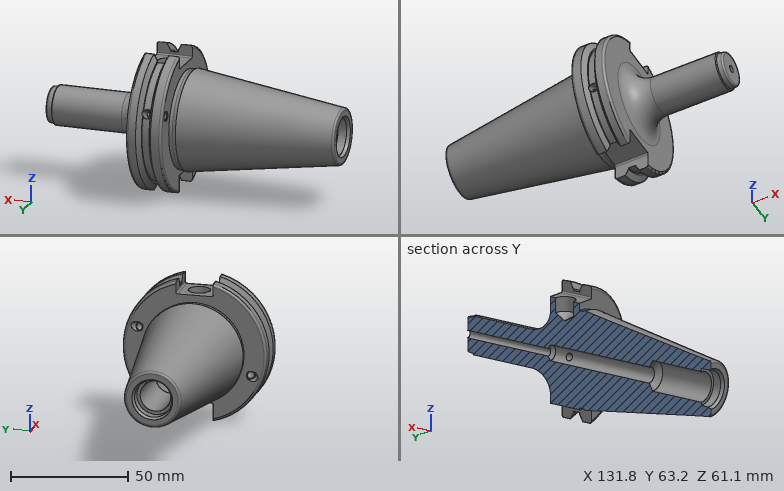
import cadquery as cq
import math

LENGTH = 131.8

GAUGE_RADIUS = 22.3
GAUGE_X = 68.0
TAPER_SLOPE = 7 / 48
SMALL_END_RADIUS = GAUGE_RADIUS - GAUGE_X * TAPER_SLOPE
EDGE_ROUND = 1.0

RELIEF_RADIUS = 43.6 / 2
RELIEF_X = 69.5

FLANGE_RADIUS = 31.6
FLANGE_X = 71.1
FLANGE_WIDTH = 16.0
FLANGE_END_X = FLANGE_X + FLANGE_WIDTH
GROOVE_X = 79.3
GROOVE_FLOOR_RADIUS = 28.0
GROOVE_FLOOR_WIDTH = 3.4
GROOVE_MOUTH_WIDTH = 6.7
GROOVE_WALL_ANGLE = 60

SHANK_RADIUS = 17.5 / 2
NECK_ROUND = 10.1
TIP_X = 128.6
TIP_STEP_LENGTH = 0.4
TIP_STEP_RADIUS = 16.3 / 2
TIP_CONE_END_RADIUS = 7.9
TIP_ROUND = 0.8

SLOT_WIDTH = 16.3
UPPER_SLOT_FLOOR = 25.0
LOWER_SLOT_FLOOR = 22.5
SLOT_CORNER_ROUND = 0.7
SLOT_DIMPLE_DIAMETER = 9.5
SLOT_DIMPLE_DEPTH = 6.6

MOUTH_RADIUS = 9.0
MOUTH_CONE_LENGTH = 1.5
COUNTERBORE_RADIUS = 16.3 / 2
COUNTERBORE_DEPTH = 5.3
THREAD_BORE_RADIUS = 13.5 / 2
THREAD_BORE_DEPTH = 31.6
FEED_BORE_RADIUS = 7.0 / 2
FEED_BORE_DEPTH = 87.0
OUTLET_RADIUS = 3.2 / 2
DRILL_POINT_ANGLE = 118

COOLANT_ANGLE = 20
COOLANT_DIAMETER = 3.3
PLUG_DIAMETER = 4.0
PLUG_DEPTH = 10.5
FACE_HOLE_DIAMETER = 4.2
FACE_HOLE_RADIUS = 27.0
FACE_HOLE_DEPTH = 1.6
FACE_HOLE_TILT = 35


def drill_point(radius, end_radius=0.0):
    """Length of a drill cone narrowing from radius to end_radius."""
    return (radius - end_radius) / math.tan(math.radians(DRILL_POINT_ANGLE / 2))


def revolve_about_x(outline):
    return outline.close().revolve(360, (0, 0, 0), (1, 0, 0))


def drill(start, direction, diameter, depth):
    return cq.Solid.makeCylinder(diameter / 2, depth, cq.Vector(*start), cq.Vector(*direction))


def make_taper():
    taper = revolve_about_x(
        cq.Workplane("XY")
        .lineTo(0, SMALL_END_RADIUS)
        .lineTo(GAUGE_X, GAUGE_RADIUS)
        .lineTo(RELIEF_X, RELIEF_RADIUS)
        .lineTo(FLANGE_X, RELIEF_RADIUS)
        .lineTo(FLANGE_X, 0)
    )
    return taper.faces("<X").edges().fillet(EDGE_ROUND)


def make_flange():
    flange = (
        cq.Workplane("YZ", origin=(FLANGE_X, 0, 0))
        .circle(FLANGE_RADIUS)
        .extrude(FLANGE_WIDTH)
        .edges()
        .fillet(EDGE_ROUND)
    )
    half_mouth = GROOVE_MOUTH_WIDTH / 2
    half_floor = GROOVE_FLOOR_WIDTH / 2
    wall_drop = (half_mouth - half_floor) * math.tan(math.radians(GROOVE_WALL_ANGLE))
    wall_end_radius = FLANGE_RADIUS - wall_drop
    clear_radius = FLANGE_RADIUS + EDGE_ROUND
    groove = revolve_about_x(
        cq.Workplane("XY")
        .moveTo(GROOVE_X - half_mouth, clear_radius)
        .lineTo(GROOVE_X - half_mouth, FLANGE_RADIUS)
        .lineTo(GROOVE_X - half_floor, wall_end_radius)
        .lineTo(GROOVE_X - half_floor, GROOVE_FLOOR_RADIUS)
        .lineTo(GROOVE_X + half_floor, GROOVE_FLOOR_RADIUS)
        .lineTo(GROOVE_X + half_floor, wall_end_radius)
        .lineTo(GROOVE_X + half_mouth, FLANGE_RADIUS)
        .lineTo(GROOVE_X + half_mouth, clear_radius)
    )
    return flange.cut(groove)


def make_shank():
    return revolve_about_x(
        cq.Workplane("XY")
        .moveTo(FLANGE_END_X, 0)
        .lineTo(FLANGE_END_X, SHANK_RADIUS + NECK_ROUND)
        .radiusArc((FLANGE_END_X + NECK_ROUND, SHANK_RADIUS), -NECK_ROUND)
        .lineTo(TIP_X, SHANK_RADIUS)
        .lineTo(TIP_X + TIP_STEP_LENGTH, TIP_STEP_RADIUS)
        .lineTo(LENGTH - TIP_ROUND, TIP_CONE_END_RADIUS)
        .radiusArc((LENGTH, TIP_CONE_END_RADIUS - TIP_ROUND), TIP_ROUND)
        .lineTo(LENGTH, 0)
    )


def make_slot(floor, side):
    """Driving slot through the flange, on the +Z (side=1) or -Z (side=-1) side."""
    height = FLANGE_RADIUS
    return (
        cq.Workplane("XY")
        .box(FLANGE_WIDTH, SLOT_WIDTH, height)
        .edges("|X")
        .fillet(SLOT_CORNER_ROUND)
        .translate((FLANGE_X + FLANGE_WIDTH / 2, 0, side * (floor + height / 2)))
    )


def make_slot_dimple():
    radius = SLOT_DIMPLE_DIAMETER / 2
    bottom = UPPER_SLOT_FLOOR - SLOT_DIMPLE_DEPTH
    return (
        cq.Workplane("XZ")
        .moveTo(0, UPPER_SLOT_FLOOR)
        .lineTo(radius, UPPER_SLOT_FLOOR)
        .lineTo(radius, bottom)
        .lineTo(0, bottom - drill_point(radius))
        .close()
        .revolve(360, (0, 0, 0), (0, 1, 0))
        .translate((GROOVE_X, 0, 0))
    )


def make_bore():
    return revolve_about_x(
        cq.Workplane("XY")
        .lineTo(0, MOUTH_RADIUS)
        .lineTo(MOUTH_CONE_LENGTH, COUNTERBORE_RADIUS)
        .lineTo(COUNTERBORE_DEPTH, COUNTERBORE_RADIUS)
        .lineTo(COUNTERBORE_DEPTH, THREAD_BORE_RADIUS)
        .lineTo(THREAD_BORE_DEPTH, THREAD_BORE_RADIUS)
        .lineTo(THREAD_BORE_DEPTH + drill_point(THREAD_BORE_RADIUS, FEED_BORE_RADIUS), FEED_BORE_RADIUS)
        .lineTo(FEED_BORE_DEPTH, FEED_BORE_RADIUS)
        .lineTo(FEED_BORE_DEPTH + drill_point(FEED_BORE_RADIUS, OUTLET_RADIUS), OUTLET_RADIUS)
        .lineTo(LENGTH, OUTLET_RADIUS)
        .lineTo(LENGTH, 0)
    )


def make_coolant_passage():
    """Radial feed from the bore, plugged in the groove, and a tilted outlet in the flange face.

    Built along +Y and turned to its angle around the X axis.
    """
    tilt = math.radians(FACE_HOLE_TILT)
    inward = (math.cos(tilt), -math.sin(tilt), 0)
    overshoot = FACE_HOLE_DIAMETER
    mouth = (
        FLANGE_X - overshoot * inward[0],
        FACE_HOLE_RADIUS - overshoot * inward[1],
        0,
    )
    outlet_length = (GROOVE_X + COOLANT_DIAMETER - FLANGE_X) / math.cos(tilt)
    plug_top = (GROOVE_X, FLANGE_RADIUS, 0)
    plug_length = FLANGE_RADIUS - GROOVE_FLOOR_RADIUS + PLUG_DEPTH

    feed = drill((GROOVE_X, 0, 0), (0, 1, 0), COOLANT_DIAMETER, GROOVE_FLOOR_RADIUS)
    plug = drill(plug_top, (0, -1, 0), PLUG_DIAMETER, plug_length)
    outlet = drill(mouth, inward, COOLANT_DIAMETER, overshoot + outlet_length)
    outlet_mouth = drill(mouth, inward, FACE_HOLE_DIAMETER, overshoot + FACE_HOLE_DEPTH)
    return (
        cq.Workplane(feed)
        .union(cq.Workplane(plug))
        .union(cq.Workplane(outlet))
        .union(cq.Workplane(outlet_mouth))
        .rotate((0, 0, 0), (1, 0, 0), COOLANT_ANGLE)
    )


flange = make_flange()
for slot_floor, slot_side in ((UPPER_SLOT_FLOOR, 1), (LOWER_SLOT_FLOOR, -1)):
    flange = flange.cut(make_slot(slot_floor, slot_side))

result = make_taper().union(flange).union(make_shank())
result = result.cut(make_slot_dimple()).cut(make_bore())

coolant_passage = make_coolant_passage()
for turn in (0, 180):
    result = result.cut(coolant_passage.rotate((0, 0, 0), (1, 0, 0), turn))